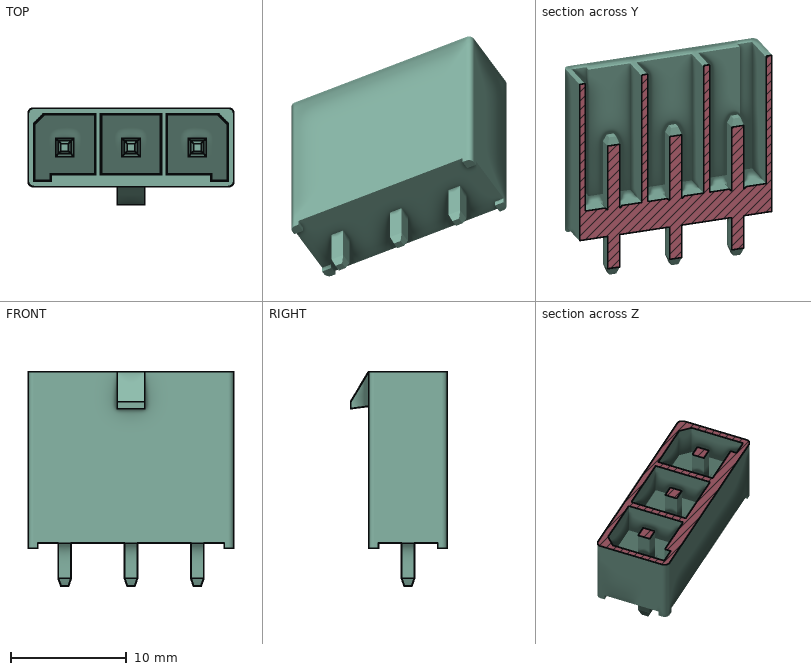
import cadquery as cq

total_height = 18.5
body_length = 17.75
body_width = 6.79
body_height = 15.25
corner_radius = 0.48
foot_size = 0.85
foot_height = 0.46

body_bottom = total_height - body_height

pitch = 5.72
middle_cell_length = 5.27
partition = 0.4
outer_wall = 0.48
front_wall = 1.02
cavity_depth = 12.02
rim_chamfer = 0.1
rim_angle = 45.0
corner_cut = 0.87
key_length = 1.52
key_wall = 0.46

cell_back = body_width / 2 - outer_wall
cell_front = front_wall - body_width / 2
key_front = key_wall - body_width / 2
cavity_floor = total_height - cavity_depth

pin_width = 1.13
pin_tip_width = 0.65
pin_taper = 0.68
pin_top = 12.95
funnel_depth = 0.22

latch_length = 2.4
latch_reach = 1.55
latch_nose_top = 2.59
latch_nose_bottom = 3.2
latch_root = 3.0

pin_positions = [-pitch, 0, pitch]


def square_frustum(x, bottom, bottom_width, height, top_width):
    return (
        cq.Workplane("XY", origin=(x, 0, bottom))
        .rect(bottom_width, bottom_width)
        .workplane(offset=height)
        .rect(top_width, top_width)
        .loft(ruled=True)
    )


def body_block():
    block = (
        cq.Workplane("XY", origin=(0, 0, body_bottom))
        .rect(body_length, body_width)
        .extrude(body_height)
        .edges("|Z")
        .fillet(corner_radius)
    )
    for length, width in (
        (body_length, body_width - 2 * foot_size),
        (body_length - 2 * foot_size, body_width),
    ):
        channel = cq.Workplane("XY", origin=(0, 0, body_bottom)).rect(length, width).extrude(foot_height)
        block = block.cut(channel)
    return block


def cell_outline(x):
    half = middle_cell_length / 2
    if x == 0:
        return [(-half, cell_front), (half, cell_front), (half, cell_back), (-half, cell_back)]
    side = 1 if x > 0 else -1
    inner = side * (half + partition)
    outer = side * (body_length / 2 - outer_wall)
    key_inner = outer - side * key_length
    return [
        (inner, cell_back),
        (outer - side * corner_cut, cell_back),
        (outer, cell_back - corner_cut),
        (outer, key_front),
        (key_inner, key_front),
        (key_inner, cell_front),
        (inner, cell_front),
    ]


def cavity(x):
    shaft_outline = cq.Workplane("XY", origin=(0, 0, cavity_floor)).polyline(cell_outline(x)).close()
    shaft = shaft_outline.offset2D(-rim_chamfer, "intersection").extrude(cavity_depth)
    rim = (
        cq.Workplane("XY", origin=(0, 0, total_height))
        .polyline(cell_outline(x))
        .close()
        .extrude(-rim_chamfer, taper=rim_angle)
    )
    return shaft.union(rim)


def funnel(x):
    mouth_width = pin_width + 2 * funnel_depth
    return square_frustum(x, cavity_floor - funnel_depth, pin_width, funnel_depth, mouth_width)


def pin(x):
    shank_length = pin_top - 2 * pin_taper
    shank = cq.Workplane("XY", origin=(x, 0, pin_taper)).rect(pin_width, pin_width).extrude(shank_length)
    lower_tip = square_frustum(x, 0, pin_tip_width, pin_taper, pin_width)
    upper_tip = square_frustum(x, pin_top - pin_taper, pin_width, pin_taper, pin_tip_width)
    return shank.union(lower_tip).union(upper_tip)


def latch():
    front_face = -body_width / 2
    nose = front_face - latch_reach
    return (
        cq.Workplane("YZ")
        .polyline(
            [
                (front_face, total_height),
                (nose, total_height - latch_nose_top),
                (nose, total_height - latch_nose_bottom),
                (front_face, total_height - latch_root),
            ]
        )
        .close()
        .extrude(latch_length / 2, both=True)
    )


result = body_block().union(latch())
for pin_x in pin_positions:
    result = result.cut(cavity(pin_x)).cut(funnel(pin_x)).union(pin(pin_x))